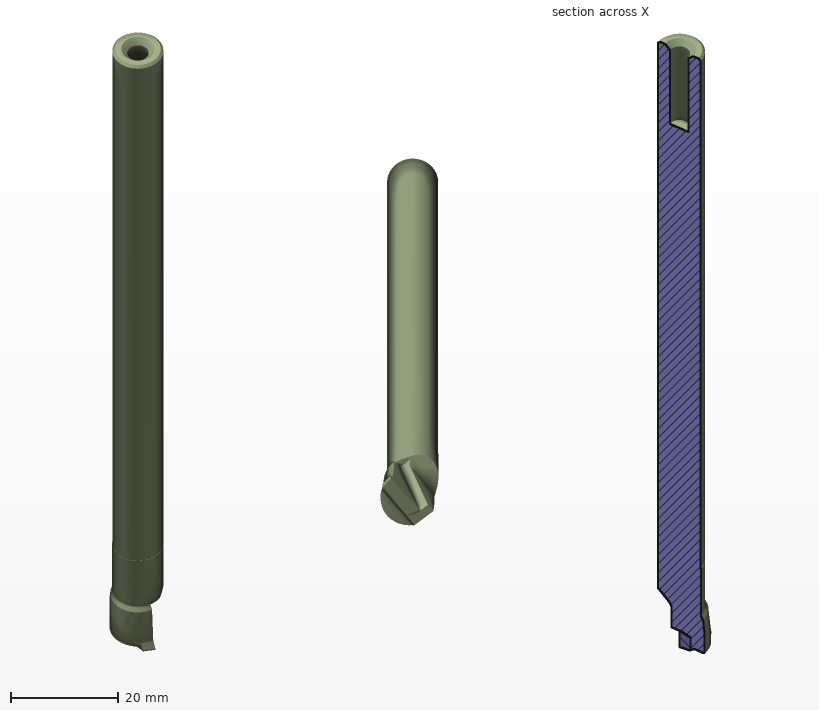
import cadquery as cq
import math

overall_x = 11.51
overall_y = 10.46
total_length = 153.65
large = 40.0

shank_diameter = 9.525
shank_end_chamfer = 0.5
bore_diameter = 4.0
bore_depth = 20.0
bore_mouth_diameter = 6.2
bore_mouth_depth = 1.1

neck_diameter = 9.61
neck_radius = neck_diameter / 2
neck_top = 22.7
neck_bottom = 10.6

head_top = 9.7
head_bottom = 0.4
head_top_radius = 5.15
head_top_center = (0.25, -0.15)
head_bottom_radius = 5.82
head_bottom_center = (0.15, -0.4)

heel_radius = 5.35
heel_center = (0.6, heel_radius - (overall_y - neck_radius))

chip_face_y = 1.8
runout_low_y = 2.3
runout_high_z = 13.0

relief_bottom_x = -3.95
relief_top_x = -4.8
relief_top = 12.7

end_step_low_y = -2.4
end_step_high_y = -3.2
end_step_z = 1.25
end_rise_angle = 2.0
end_rise_start_x = 5.0

tip_x = overall_x - neck_radius
insert_edge = 9.6
insert_corner_angle = 60.0
insert_lead_angle = 1.0
insert_nose_radius = 0.4
insert_thickness = 2.38
insert_clearance_angle = 7.0
insert_face_y = 0.0


def lofted_round(low_radius, low_center, low_z, high_radius, high_center, high_z):
    """Cylinder or cone between two level circles whose centres may be offset."""
    shift = (high_center[0] - low_center[0], high_center[1] - low_center[1])
    return (
        cq.Workplane("XY", origin=(*low_center, low_z))
        .circle(low_radius)
        .workplane(offset=high_z - low_z)
        .center(*shift)
        .circle(high_radius)
        .loft(ruled=True)
    )


def make_shank():
    shank = (
        cq.Workplane("XY", origin=(0, 0, neck_top))
        .circle(shank_diameter / 2)
        .extrude(total_length - neck_top)
        .faces(">Z")
        .chamfer(shank_end_chamfer)
    )
    bore = (
        cq.Workplane("XZ")
        .moveTo(0, total_length)
        .lineTo(bore_mouth_diameter / 2, total_length)
        .lineTo(bore_diameter / 2, total_length - bore_mouth_depth)
        .lineTo(bore_diameter / 2, total_length - bore_depth)
        .lineTo(0, total_length - bore_depth)
        .close()
        .revolve(360, (0, 0, 0), (0, 1, 0))
    )
    return shank.cut(bore)


def make_neck():
    neck = cq.Workplane("XY", origin=(0, 0, neck_bottom)).circle(neck_radius).extrude(neck_top - neck_bottom)
    flare = lofted_round(head_top_radius, head_top_center, head_top, neck_radius, (0, 0), neck_bottom)
    return neck.union(flare)


def make_head():
    cone = lofted_round(
        head_bottom_radius, head_bottom_center, head_bottom, head_top_radius, head_top_center, head_top
    )
    heel = (
        cq.Workplane("XY", origin=(*heel_center, head_bottom))
        .circle(heel_radius)
        .extrude(head_top - head_bottom)
    )
    return cone.intersect(heel)


def prism(plane, points):
    """Cutter with the given outline, running across the whole bar."""
    return cq.Workplane(plane).polyline(points).close().extrude(large, both=True)


def chip_space():
    return prism("YZ", [
        (chip_face_y, 0),
        (chip_face_y, head_top),
        (runout_low_y, neck_bottom),
        (neck_radius, runout_high_z),
        (large, runout_high_z),
        (large, 0),
    ])


def relief_flat():
    return prism("XZ", [
        (relief_bottom_x, head_bottom),
        (relief_top_x, relief_top),
        (-large, relief_top),
        (-large, head_bottom),
    ])


def end_step():
    return prism("YZ", [
        (end_step_low_y, head_bottom),
        (end_step_high_y, end_step_z),
        (-large, end_step_z),
        (-large, head_bottom),
    ])


def end_rise():
    run = end_rise_start_x + large
    rise = run * math.tan(math.radians(end_rise_angle))
    return prism("XZ", [
        (end_rise_start_x, head_bottom),
        (-large, head_bottom + rise),
        (-large, head_bottom),
    ])


def insert_outline():
    """Sharp corners of the insert in X and Z, the cutting corner first."""
    lead = math.radians(insert_lead_angle)
    corner = math.radians(insert_corner_angle)
    nose_reach = insert_nose_radius / math.sin(corner / 2)
    bisector = lead + corner / 2
    x = tip_x - insert_nose_radius + nose_reach * math.cos(bisector)
    z = insert_nose_radius - nose_reach * math.sin(bisector)
    return [
        (x, z),
        (x - insert_edge * math.cos(lead), z + insert_edge * math.sin(lead)),
        (x - insert_edge * math.cos(lead + corner), z + insert_edge * math.sin(lead + corner)),
    ]


def make_insert():
    return (
        cq.Workplane("XZ", origin=(0, insert_face_y, 0))
        .polyline(insert_outline())
        .close()
        .extrude(insert_thickness, taper=insert_clearance_angle)
        .edges("not #Y")
        .fillet(insert_nose_radius)
    )


def chip_pocket():
    """Open space in front of the insert, up to the neck and out through the +X side."""
    cutting_corner, rear_corner, upper_corner = insert_outline()
    reach = (neck_bottom - rear_corner[1]) / (upper_corner[1] - rear_corner[1])
    wall_top_x = rear_corner[0] + reach * (upper_corner[0] - rear_corner[0])
    return (
        cq.Workplane("XZ", origin=(0, insert_face_y, 0))
        .polyline([
            rear_corner,
            cutting_corner,
            (large, cutting_corner[1]),
            (large, neck_bottom),
            (wall_top_x, neck_bottom),
        ])
        .close()
        .extrude(-large)
    )


insert = make_insert()
holder = make_shank().union(make_neck()).union(make_head())
for cutter in (chip_space(), relief_flat(), end_step(), end_rise(), chip_pocket(), insert):
    holder = holder.cut(cutter)

result = cq.Compound.makeCompound([holder.val(), insert.val()])